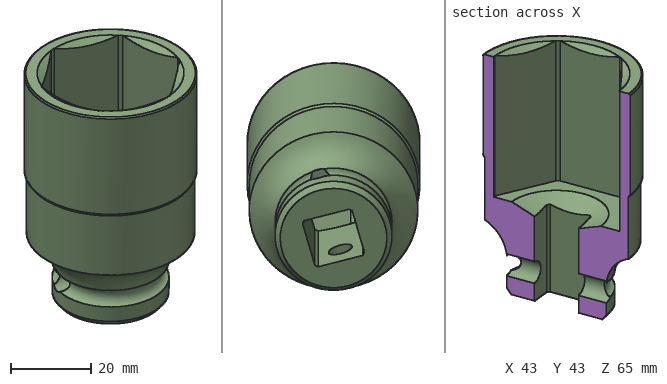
import cadquery as cq
import math

total_height = 65.0
head_radius = 21.5
body_radius = 21.0
shank_radius = 14.55
rim_chamfer = 0.4
base_chamfer_width = 1.3
base_chamfer_height = 1.55
neck_bottom = 10.5
neck_top = 18.85
neck_arc_radius = 10.0
body_top = 36.15
head_step_height = 0.8

groove_bottom = 5.7
groove_floor_radius = 12.5
groove_middle = (groove_bottom + neck_bottom) / 2
pin_hole_diameter = 6.0
pin_hole_height = 8.0

hex_across_flats = 32.2
hex_corner_radius = 18.25
hex_floor = 26.0
hex_sides = 6
half_side_angle = 180.0 / hex_sides
lead_in_angle = 30.0

drive_square = 12.8
drive_corner_chamfer = 0.65
cone_radius = 13.0
cone_slope = 20.0


def outer_body():
    profile = (
        cq.Workplane("XZ")
        .lineTo(shank_radius - base_chamfer_width, 0)
        .lineTo(shank_radius, base_chamfer_height)
        .lineTo(shank_radius, groove_bottom)
        .threePointArc((groove_floor_radius, groove_middle), (shank_radius, neck_bottom))
        .radiusArc((body_radius, neck_top), neck_arc_radius)
        .lineTo(body_radius, body_top)
        .lineTo(head_radius, body_top + head_step_height)
        .lineTo(head_radius, total_height - rim_chamfer)
        .lineTo(head_radius - rim_chamfer, total_height)
        .lineTo(0, total_height)
        .close()
    )
    return profile.revolve(360, (0, 0), (0, 1))


def hex_socket():
    """Hexagon with corners on the Y axis, its sharp corners rounded off by a cylinder."""
    depth = total_height - hex_floor
    corner_diameter = hex_across_flats / math.cos(math.radians(half_side_angle))
    floor_plane = cq.Workplane("XY").workplane(offset=hex_floor)
    hexagon = floor_plane.polygon(hex_sides, corner_diameter).extrude(depth)
    hexagon = hexagon.rotate((0, 0, 0), (0, 0, 1), half_side_angle)
    corner_cylinder = floor_plane.circle(hex_corner_radius).extrude(depth)
    return hexagon.intersect(corner_cylinder)


def cone_pointing_down(radius, top, slope):
    """Solid cone whose base circle lies at the given height and whose tip is below it."""
    depth = radius * math.tan(math.radians(slope))
    triangle = cq.Workplane("XZ").moveTo(0, top - depth).lineTo(radius, top).lineTo(0, top).close()
    return triangle.revolve(360, (0, 0), (0, 1))


def drive_hole():
    square = cq.Workplane("XY").rect(drive_square, drive_square).extrude(hex_floor)
    return square.edges("|Z").chamfer(drive_corner_chamfer)


def pin_hole():
    across = cq.Workplane("XZ").center(0, pin_hole_height).circle(pin_hole_diameter / 2)
    return across.extrude(shank_radius, both=True)


result = (
    outer_body()
    .cut(hex_socket())
    .cut(cone_pointing_down(hex_corner_radius, total_height, lead_in_angle))
    .cut(cone_pointing_down(cone_radius, hex_floor, cone_slope))
    .cut(drive_hole())
    .cut(pin_hole())
)